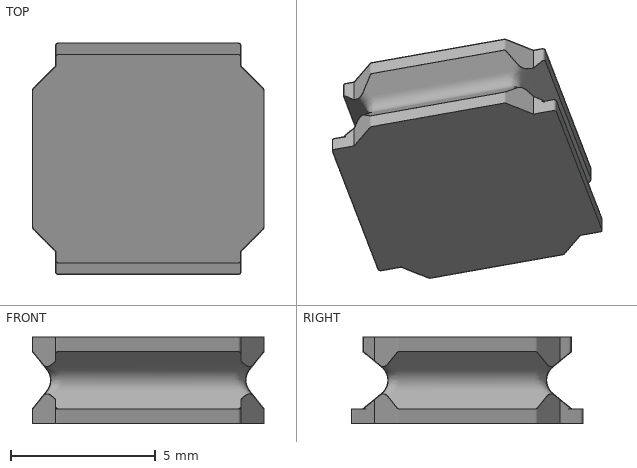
import cadquery as cq
import math

half_width = 4.0
height = 3.0
rim_height = 0.51
upper_half_length = 3.6
lower_half_length = 4.0

tab_half_width = 3.2
corner_bevel = half_width - tab_half_width
notch_y = 3.2
rim_corner_radius = 0.1

groove_radius = 0.6
side_groove_depth = 0.62
end_groove_depth = 0.86
waist_corner_radius = 0.4

middle_z = height / 2
groove_half_height = middle_z - rim_height


def plate(half_length, base_z, thickness):
    """Rim plate with a bevel and a notch at every corner."""
    bevel_y = notch_y - corner_bevel
    quarter = [
        (half_width, bevel_y),
        (tab_half_width, notch_y),
        (tab_half_width, half_length),
    ]
    outline = list(quarter)
    outline += [(-x, y) for x, y in reversed(quarter)]
    outline += [(-x, -y) for x, y in quarter]
    outline += [(x, -y) for x, y in reversed(quarter)]
    blank = cq.Workplane("XY").workplane(offset=base_z).polyline(outline).close().extrude(thickness)
    bevel_start, _, tab_corner = quarter
    rounded = [
        (sign_x * x, sign_y * y)
        for x, y in (bevel_start, tab_corner)
        for sign_x in (-1, 1)
        for sign_y in (-1, 1)
    ]
    for x, y in rounded:
        corner = cq.selectors.NearestToPointSelector((x, y, base_z + thickness / 2))
        blank = blank.edges("|Z").edges(corner).fillet(rim_corner_radius)
    return blank


def waisted_bar(plane, half_span, depth, half_run):
    """Bar whose two flanks slope in tangentially to a round groove floor."""
    centre = half_span - depth + groove_radius
    inset = half_span - centre
    reach = math.hypot(inset, groove_half_height)
    angle = math.atan2(groove_half_height, inset) + math.acos(groove_radius / reach)
    tangent_x = centre + groove_radius * math.cos(angle)
    tangent_z = groove_radius * math.sin(angle)
    floor_x = half_span - depth
    return (
        cq.Workplane(plane)
        .moveTo(half_span, middle_z - groove_half_height)
        .lineTo(tangent_x, middle_z - tangent_z)
        .threePointArc((floor_x, middle_z), (tangent_x, middle_z + tangent_z))
        .lineTo(half_span, middle_z + groove_half_height)
        .lineTo(-half_span, middle_z + groove_half_height)
        .lineTo(-tangent_x, middle_z + tangent_z)
        .threePointArc((-floor_x, middle_z), (-tangent_x, middle_z - tangent_z))
        .lineTo(-half_span, middle_z - groove_half_height)
        .close()
        .extrude(half_run, both=True)
    )


def waist():
    """Grooved core with rounded corners, trimmed to the plate outline."""
    tolerance = 0.08
    side_bar = waisted_bar("XZ", half_width, side_groove_depth, upper_half_length)
    end_bar = waisted_bar("YZ", upper_half_length, end_groove_depth, half_width)
    core = side_bar.intersect(end_bar)
    mitres = [
        edge for edge in core.edges().vals()
        if edge.BoundingBox().zlen > tolerance
        and abs(edge.Center().x) > tolerance
        and abs(edge.Center().y) > tolerance
    ]
    core = core.newObject(mitres).fillet(waist_corner_radius)
    return core.intersect(plate(upper_half_length, rim_height, height - 2 * rim_height))


lower_rim = plate(lower_half_length, 0, rim_height)
upper_rim = plate(upper_half_length, height - rim_height, rim_height)
result = lower_rim.union(waist()).union(upper_rim)